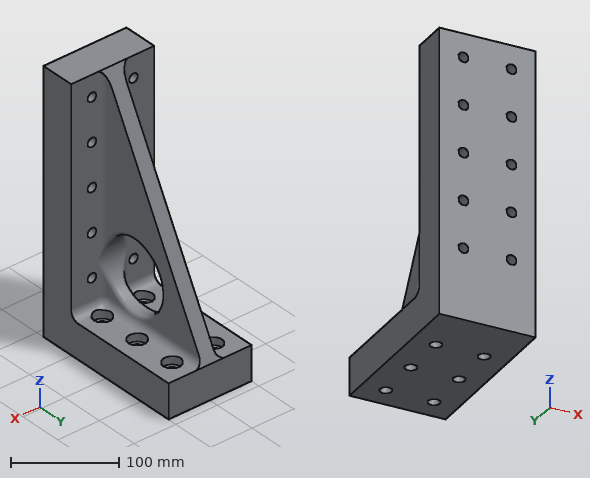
import cadquery as cq

height = 300.0
width = height / 3
depth = 0.6 * height
plate_thickness = 0.4 * width

web_thickness = 17.5
root_radius = plate_thickness / 4

window_diameter = 79.8
window_y = 2 * plate_thickness
window_z = 0.9 * width
window_edge_radius = root_radius / 2

hole_pitch = width / 2
upright_hole_diameter = 10.2
upright_hole_rows = 5
lowest_hole_z = 0.75 * width
foot_hole_diameter = 12.0
foot_hole_rows = 3
first_foot_hole_y = 0.55 * width
counterbore_diameter = 20.0
counterbore_depth = 9.0

selection_margin = 0.03


def make_blank():
    """Full-width block with the sloping back of the web as its profile."""
    return (
        cq.Workplane("YZ")
        .polyline([
            (0, 0),
            (depth, 0),
            (depth, plate_thickness),
            (plate_thickness, height),
            (0, height),
        ])
        .close()
        .extrude(width / 2, both=True)
    )


def make_side_pocket(side):
    """Space beside the web, its three inner edges rounded; side is -1 or 1."""
    pocket = (
        cq.Workplane("XY")
        .box(width, depth, height, centered=(True, False, False))
        .translate((side * (web_thickness + width) / 2, plate_thickness, plate_thickness))
    )
    web_face = "<X" if side > 0 else ">X"
    inner_edges = (
        pocket.faces(web_face).edges("<Y or <Z")
        .add(pocket.faces("<Y").edges("<Z"))
    )
    return inner_edges.fillet(root_radius)


def cut_window(body):
    """Cut the round window and round its rim on both sides of the web."""
    window = (
        cq.Workplane("YZ", origin=(-width / 2, window_y, window_z))
        .circle(window_diameter / 2)
        .extrude(width)
    )
    reach = window_diameter / 2 + selection_margin
    window_box = cq.selectors.BoxSelector(
        (-width / 2, window_y - reach, window_z - reach),
        (width / 2, window_y + reach, window_z + reach),
        boundingbox=True,
    )
    rim = body.cut(window).edges(window_box).edges("not %LINE")
    return rim.fillet(window_edge_radius)


def make_upright_holes():
    """Cutters for the two columns of plain holes through the upright."""
    centers = [
        (side * hole_pitch / 2, lowest_hole_z + row * hole_pitch)
        for side in (-1, 1)
        for row in range(upright_hole_rows)
    ]
    return (
        cq.Workplane("XZ")
        .pushPoints(centers)
        .circle(upright_hole_diameter / 2)
        .extrude(-plate_thickness)
    )


def make_foot_holes():
    """Cutters for the two columns of counterbored holes through the foot."""
    centers = [
        (side * hole_pitch / 2, first_foot_hole_y + row * hole_pitch)
        for side in (-1, 1)
        for row in range(foot_hole_rows)
    ]
    holes = (
        cq.Workplane("XY")
        .pushPoints(centers)
        .circle(foot_hole_diameter / 2)
        .extrude(plate_thickness)
    )
    counterbores = (
        cq.Workplane("XY", origin=(0, 0, plate_thickness - counterbore_depth))
        .pushPoints(centers)
        .circle(counterbore_diameter / 2)
        .extrude(counterbore_depth + root_radius)
    )
    return holes.union(counterbores)


result = make_blank()
for side in (-1, 1):
    result = result.cut(make_side_pocket(side))
result = cut_window(result)
result = result.cut(make_upright_holes()).cut(make_foot_holes())